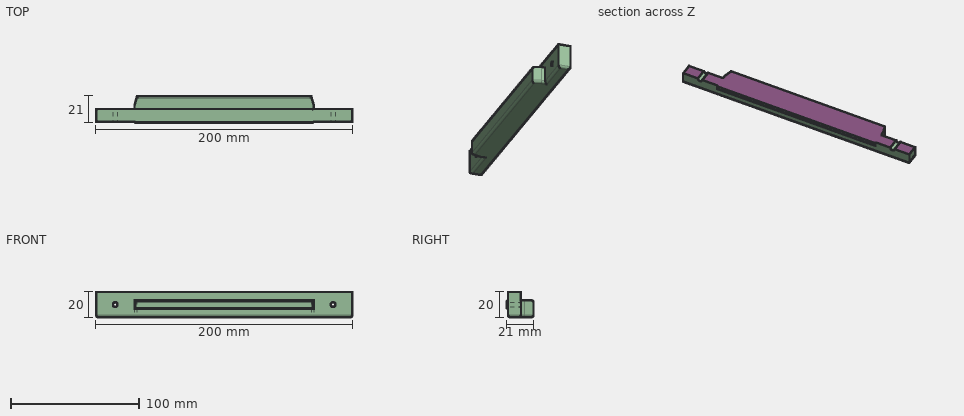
import cadquery as cq

BAR_LENGTH = 200.0
BAR_DEPTH = 10.0
BAR_HEIGHT = 20.0
BOTTOM_FILLET = 2.0

PAD_LENGTH = 140.0
PAD_HEIGHT = 7.0
PAD_THICKNESS = 1.0
PAD_BEVEL_ANGLE = 45.0

BLOCK_LENGTH = 140.0
BLOCK_DEPTH = 10.0
BLOCK_STRAIGHT_DEPTH = 3.0
BLOCK_END_TAPER = 2.0
BLOCK_HEIGHT = 13.5
BLOCK_TOP_FILLET = 2.0

HOLE_DIAMETER = 3.5
HOLE_END_DISTANCE = 15.0


def make_bar():
    return cq.Workplane("XY").box(
        BAR_LENGTH, BAR_DEPTH, BAR_HEIGHT, centered=(True, False, False)
    )


def make_block():
    """Block with tapered ends on the back face, rounded along its upper rear edge."""
    half_length = BLOCK_LENGTH / 2
    rear_half_length = half_length - BLOCK_END_TAPER
    taper_start_y = BAR_DEPTH + BLOCK_STRAIGHT_DEPTH
    rear_y = BAR_DEPTH + BLOCK_DEPTH
    block = (
        cq.Workplane("XY")
        .moveTo(-half_length, BAR_DEPTH)
        .lineTo(half_length, BAR_DEPTH)
        .lineTo(half_length, taper_start_y)
        .lineTo(rear_half_length, rear_y)
        .lineTo(-rear_half_length, rear_y)
        .lineTo(-half_length, taper_start_y)
        .close()
        .extrude(BLOCK_HEIGHT)
    )
    return block.faces(">Y").edges(">Z").fillet(BLOCK_TOP_FILLET)


def make_pad():
    """Thin pad at mid-height of the front face, bevelled on all four sides."""
    return (
        cq.Workplane("XZ")
        .center(0, BAR_HEIGHT / 2)
        .rect(PAD_LENGTH, PAD_HEIGHT)
        .extrude(PAD_THICKNESS, taper=PAD_BEVEL_ANGLE)
    )


def make_holes():
    hole_x = BAR_LENGTH / 2 - HOLE_END_DISTANCE
    return (
        cq.Workplane("XZ")
        .pushPoints([(-hole_x, BAR_HEIGHT / 2), (hole_x, BAR_HEIGHT / 2)])
        .circle(HOLE_DIAMETER / 2)
        .extrude(-BAR_DEPTH)
    )


body = make_bar().union(make_block())
body = body.faces("<Z").edges().fillet(BOTTOM_FILLET)
result = body.union(make_pad()).cut(make_holes())